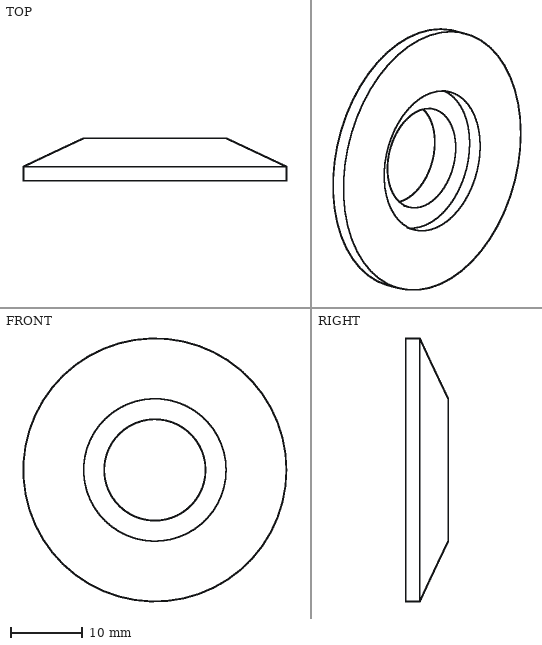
import cadquery as cq

outer_diameter = 37.0
height = 6.0
rim_height = 2.0
crown_diameter = 20.0
bore_diameter = 14.2
recess_diameter = crown_diameter
recess_depth = rim_height

outer_radius = outer_diameter / 2
crown_radius = crown_diameter / 2
bore_radius = bore_diameter / 2
recess_radius = recess_diameter / 2

half_section = (
    cq.Workplane("XY")
    .moveTo(recess_radius, 0)
    .lineTo(outer_radius, 0)
    .lineTo(outer_radius, rim_height)
    .lineTo(crown_radius, height)
    .lineTo(bore_radius, height)
    .lineTo(bore_radius, recess_depth)
    .lineTo(recess_radius, recess_depth)
    .close()
)

result = half_section.revolve(360, (0, 0, 0), (0, 1, 0))